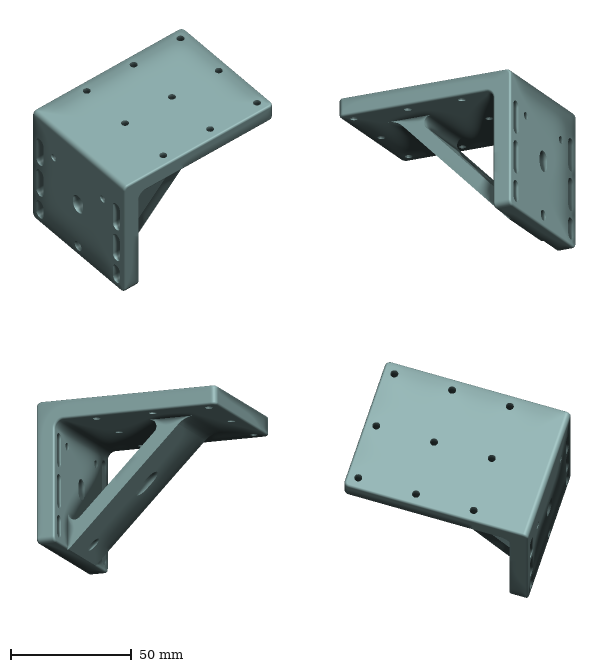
import cadquery as cq
import math

WIDTH = 60.0
LENGTH = 80.0
HEIGHT = 60.0
PLATE = 8.2
EDGE_BREAK = 1.0
CORNER_RADIUS = 2.2
INNER_RADIUS = 3.7

STRUT_WIDTH = 30.0
STRUT_THICKNESS = 6.0
STRUT_BLEND = 10.0
WINDOW_RADIUS = 3.0

GRID_SPAN = 50.0
GRID_HOLE = 3.3
GRID_DEPTH = 10.0
DRILL_ANGLE = 118.0

SLOT_WIDTH = 4.5
SHORT_TRAVEL = 5.0
LONG_TRAVEL = 10.0
SLOT_BRIDGE = 7.5
SMALL_HOLE = 3.3
SMALL_HOLE_X = 16.0
SMALL_HOLE_Z = 43.5
OBLONG_WIDTH = 6.6
OBLONG_LENGTH = 9.1
OBLONG_Z = 28.8
FOOT_HOLE = 4.6

grid_pitch = GRID_SPAN / 2
edge_margin = (WIDTH - GRID_SPAN) / 2
ceiling = HEIGHT - PLATE
strut_offset = STRUT_THICKNESS * math.sqrt(2)


def angle_plates():
    """L-shaped body, centred on X, with rounded corners and broken edges."""
    outline = [
        (0, 0),
        (PLATE, 0),
        (PLATE, ceiling),
        (LENGTH, ceiling),
        (LENGTH, HEIGHT),
        (0, HEIGHT),
    ]
    body = cq.Workplane("YZ").polyline(outline).close().extrude(WIDTH / 2, both=True)
    body = body.edges("|Z and >Y").fillet(CORNER_RADIUS)
    body = body.edges("|Y and <Z").fillet(CORNER_RADIUS)
    body = body.edges("|X and <Y and >Z").fillet(CORNER_RADIUS)
    inner_corner = cq.selectors.NearestToPointSelector((0, PLATE, ceiling))
    body = body.edges(inner_corner).fillet(INNER_RADIUS)
    outer_rim = body.edges(cq.selectors.NearestToPointSelector((WIDTH / 2, LENGTH / 2, HEIGHT)))
    inner_rim = body.edges(cq.selectors.NearestToPointSelector((WIDTH / 2, LENGTH / 2, ceiling)))
    return body.newObject(outer_rim.vals() + inner_rim.vals()).fillet(EDGE_BREAK)


def strut():
    """Triangular web whose window leaves only the diagonal bar."""
    top_end = ceiling + strut_offset
    buried = PLATE / 2
    far_end = LENGTH - CORNER_RADIUS
    outline = [
        (PLATE - buried, 0),
        (strut_offset, 0),
        (top_end, ceiling),
        (far_end, ceiling),
        (far_end, ceiling + buried),
        (PLATE - buried, ceiling + buried),
    ]
    web = cq.Workplane("YZ").polyline(outline).close().extrude(STRUT_WIDTH / 2, both=True)
    web = web.edges(cq.selectors.NearestToPointSelector((0, top_end, ceiling))).fillet(STRUT_BLEND)
    opening = [(PLATE, PLATE), (ceiling, ceiling), (PLATE, ceiling)]
    window = cq.Workplane("YZ").polyline(opening).close().extrude(WIDTH, both=True)
    for end in (PLATE, ceiling):
        window = window.edges(cq.selectors.NearestToPointSelector((0, end, end))).fillet(WINDOW_RADIUS)
    corner = cq.selectors.NearestToPointSelector((0, PLATE, ceiling))
    window = window.edges(corner).fillet(INNER_RADIUS)
    return web.cut(window)


def grid_holes():
    """Drilled holes from the top: through the plate, but blind where the strut backs it."""
    radius = GRID_HOLE / 2
    tip = radius / math.tan(math.radians(DRILL_ANGLE / 2))
    profile = [(0, 0), (radius, 0), (radius, -GRID_DEPTH), (0, -GRID_DEPTH - tip)]
    drill = cq.Workplane("XZ").polyline(profile).close().revolve(360, (0, 0), (0, 1))
    holes = cq.Workplane()
    for column in (-1, 0, 1):
        for row in (1, 2, 3):
            holes = holes.add(drill.translate((column * grid_pitch, row * grid_pitch, HEIGHT)))
    return holes.combine()


def upright_opening(x, z, width, length, depth):
    """Cutter through the front plate: a vertical slot, or a round hole if length equals width."""
    plane = cq.Workplane("XZ").center(x, z)
    if length > width:
        return plane.slot2D(length, width, 90).extrude(-depth)
    return plane.circle(width / 2).extrude(-depth)


def front_openings():
    """Two columns of slots, two small holes, and two openings that also pierce the strut."""
    cutters = []
    for side in (-1, 1):
        low_center = edge_margin
        for travel in (SHORT_TRAVEL, LONG_TRAVEL, LONG_TRAVEL):
            middle = low_center + travel / 2
            length = travel + SLOT_WIDTH
            cutters.append(upright_opening(side * grid_pitch, middle, SLOT_WIDTH, length, PLATE))
            low_center += travel + SLOT_BRIDGE
        cutters.append(upright_opening(side * SMALL_HOLE_X, SMALL_HOLE_Z, SMALL_HOLE, SMALL_HOLE, PLATE))
    cutters.append(upright_opening(0, OBLONG_Z, OBLONG_WIDTH, OBLONG_LENGTH, LENGTH))
    cutters.append(upright_opening(0, edge_margin, FOOT_HOLE, FOOT_HOLE, LENGTH))
    return cutters


bracket = angle_plates().union(strut()).cut(grid_holes())
for cutter in front_openings():
    bracket = bracket.cut(cutter)

result = bracket.solids()